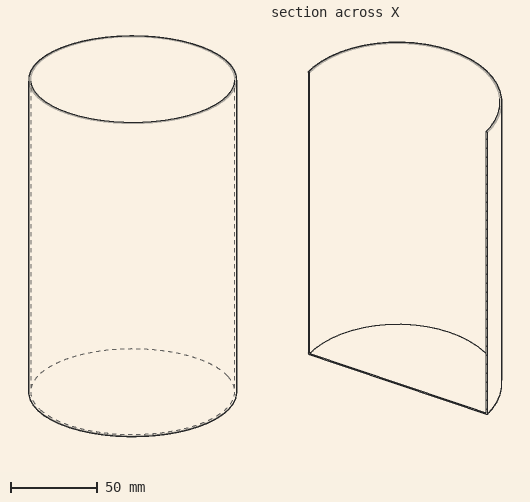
import cadquery as cq

height = 200.0
outer_diameter = 120.2
inner_diameter = 117.8
base_edge_radius = 1.0
rim_edge_radius = 0.2

wall = (outer_diameter - inner_diameter) / 2
floor_thickness = wall

body = cq.Workplane("XY").circle(outer_diameter / 2).extrude(height)
body = body.faces("<Z").edges().fillet(base_edge_radius)

bore = (
    cq.Workplane("XY")
    .workplane(offset=floor_thickness)
    .circle(inner_diameter / 2)
    .extrude(height - floor_thickness)
)
cup = body.cut(bore)

result = cup.faces(">Z").edges().fillet(rim_edge_radius)